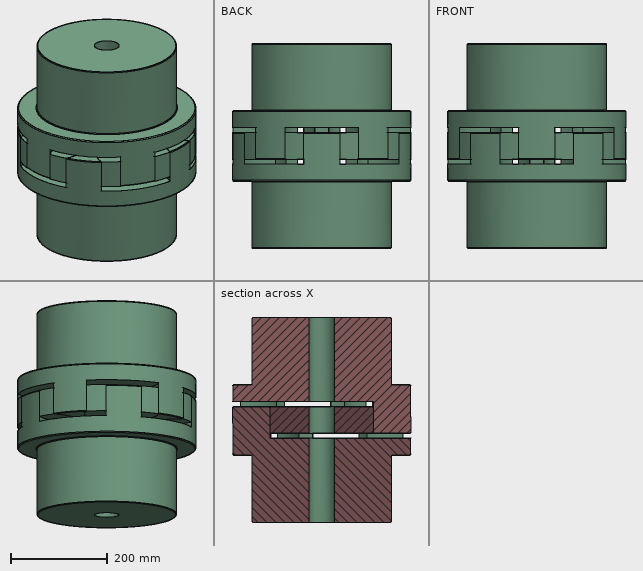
import cadquery as cq
import math

LENGTH = 425.0
FLANGE_DIAMETER = 370.0
FLANGE_RADIUS = FLANGE_DIAMETER / 2
HUB_RADIUS = 145.0
BORE_RADIUS = 25.5

SPIDER_HALF_HEIGHT = 27.5
FLANGE_INNER_FACE = 38.0
FLANGE_OUTER_FACE = 73.0

HUB_END_CHAMFER = 1.5
HUB_ROOT_CHAMFER = 1.5
FLANGE_CHAMFER = 2.0
JAW_TIP_CHAMFER = 1.5

JAW_COUNT = 5
FIRST_JAW_ANGLE = -90.0
JAW_NOSE_RADIUS = 106.5
JAW_NOSE_HALF_WIDTH = 15.0
JAW_RIM_HALF_WIDTH = 38.0
FLANK_RADIUS = 85.0

JAW_PITCH = 360.0 / JAW_COUNT


def jaw_prisms(first_angle, bottom, top):
    """Prisms with the jaw cross-section, spaced evenly about the Z axis, as one workplane."""
    nose_x = math.sqrt(JAW_NOSE_RADIUS**2 - JAW_NOSE_HALF_WIDTH**2)
    rim_x = math.sqrt(FLANGE_RADIUS**2 - JAW_RIM_HALF_WIDTH**2)
    flank_chord = math.hypot(rim_x - nose_x, JAW_RIM_HALF_WIDTH - JAW_NOSE_HALF_WIDTH)
    flank_sag = FLANK_RADIUS - math.sqrt(FLANK_RADIUS**2 - (flank_chord / 2) ** 2)
    prism = (
        cq.Workplane("XY")
        .workplane(offset=bottom)
        .moveTo(nose_x, -JAW_NOSE_HALF_WIDTH)
        .sagittaArc((rim_x, -JAW_RIM_HALF_WIDTH), flank_sag)
        .threePointArc((FLANGE_RADIUS, 0), (rim_x, JAW_RIM_HALF_WIDTH))
        .sagittaArc((nose_x, JAW_NOSE_HALF_WIDTH), flank_sag)
        .threePointArc((JAW_NOSE_RADIUS, 0), (nose_x, -JAW_NOSE_HALF_WIDTH))
        .close()
        .extrude(top - bottom)
    )
    prisms = cq.Workplane("XY")
    for index in range(JAW_COUNT):
        angle = first_angle + index * JAW_PITCH
        prisms = prisms.add(prism.rotate((0, 0, 0), (0, 0, 1), angle))
    return prisms.combine()


def disc_between_jaws(first_angle, bottom, top):
    """Full-size disc with the cross-section of one hub's jaws cut out of it."""
    disc = cq.Workplane("XY").workplane(offset=bottom).circle(FLANGE_RADIUS).extrude(top - bottom)
    return disc.cut(jaw_prisms(first_angle, bottom, top))


def make_hub():
    """Upper hub: bored boss, flange and jaws that reach down between the spider teeth."""
    hub_end = LENGTH / 2
    blank = (
        cq.Workplane("XZ")
        .moveTo(BORE_RADIUS, -SPIDER_HALF_HEIGHT)
        .lineTo(FLANGE_RADIUS - JAW_TIP_CHAMFER, -SPIDER_HALF_HEIGHT)
        .lineTo(FLANGE_RADIUS, -SPIDER_HALF_HEIGHT + JAW_TIP_CHAMFER)
        .lineTo(FLANGE_RADIUS, FLANGE_OUTER_FACE - FLANGE_CHAMFER)
        .lineTo(FLANGE_RADIUS - FLANGE_CHAMFER, FLANGE_OUTER_FACE)
        .lineTo(HUB_RADIUS + HUB_ROOT_CHAMFER, FLANGE_OUTER_FACE)
        .lineTo(HUB_RADIUS, FLANGE_OUTER_FACE + HUB_ROOT_CHAMFER)
        .lineTo(HUB_RADIUS, hub_end - HUB_END_CHAMFER)
        .lineTo(HUB_RADIUS - HUB_END_CHAMFER, hub_end)
        .lineTo(BORE_RADIUS, hub_end)
        .close()
        .revolve(360, (0, 0, 0), (0, 1, 0))
    )
    waste = disc_between_jaws(FIRST_JAW_ANGLE, -SPIDER_HALF_HEIGHT, FLANGE_INNER_FACE)
    return blank.cut(waste).solids()


def make_spider():
    """Bored disc whose ten barrel-sided teeth are left between the jaws of both hubs."""
    lower_jaw_angle = FIRST_JAW_ANGLE + JAW_PITCH / 2
    disc = disc_between_jaws(FIRST_JAW_ANGLE, -SPIDER_HALF_HEIGHT, SPIDER_HALF_HEIGHT)
    disc = disc.cut(jaw_prisms(lower_jaw_angle, -SPIDER_HALF_HEIGHT, SPIDER_HALF_HEIGHT))
    bore = (
        cq.Workplane("XY")
        .workplane(offset=-SPIDER_HALF_HEIGHT)
        .circle(BORE_RADIUS)
        .extrude(2 * SPIDER_HALF_HEIGHT)
    )
    return disc.cut(bore).solids()


upper_hub = make_hub()
lower_hub = upper_hub.rotate((0, 0, 0), (1, 0, 0), 180)
spider = make_spider()

result = cq.Compound.makeCompound([upper_hub.val(), lower_hub.val(), spider.val()])